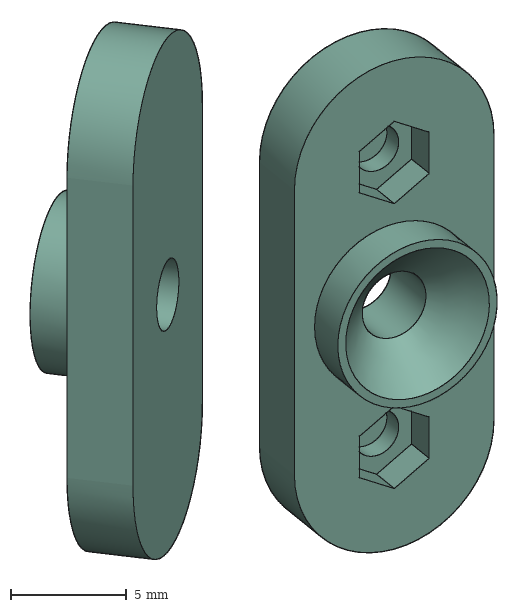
import cadquery as cq
import math

plate_height = 24.0
plate_width = 10.0
plate_thickness = 3.0

boss_diameter = 8.0
boss_height = 2.0
bore_diameter = 3.2
countersink_diameter = 7.2
countersink_depth = (countersink_diameter - bore_diameter) / 2

pocket_spacing = plate_height - plate_width
hex_across_flats = 3.5
hex_across_corners = hex_across_flats / math.cos(math.pi / 6)
hex_depth = 1.5
pin_hole_diameter = 2.2
pin_hole_depth = 1.0

boss_tip = -boss_height
overall_thickness = boss_height + plate_thickness


def face_plane(x):
    """Sketch on a YZ plane at x: local X is Y, local Y is Z, extruding to +X."""
    return cq.Workplane("YZ", origin=(x, 0, 0))


def cylinder(x, diameter, length, z=0):
    return face_plane(x).center(0, z).circle(diameter / 2).extrude(length)


def make_plate():
    return face_plane(0).slot2D(plate_height, plate_width, 90).extrude(plate_thickness)


def make_countersink():
    return cq.Workplane(
        cq.Solid.makeCone(
            countersink_diameter / 2,
            bore_diameter / 2,
            countersink_depth,
            pnt=cq.Vector(boss_tip, 0, 0),
            dir=cq.Vector(1, 0, 0),
        )
    )


def make_nut_pocket(z):
    hexagon = (
        face_plane(0)
        .polygon(6, hex_across_corners)
        .extrude(hex_depth)
        .rotate((0, 0, 0), (1, 0, 0), 90)
        .translate((0, 0, z))
    )
    return hexagon.union(cylinder(hex_depth, pin_hole_diameter, pin_hole_depth, z))


result = make_plate().union(cylinder(boss_tip, boss_diameter, boss_height))
result = result.cut(cylinder(boss_tip, bore_diameter, overall_thickness))
result = result.cut(make_countersink())
for side in (-1, 1):
    result = result.cut(make_nut_pocket(side * pocket_spacing / 2))